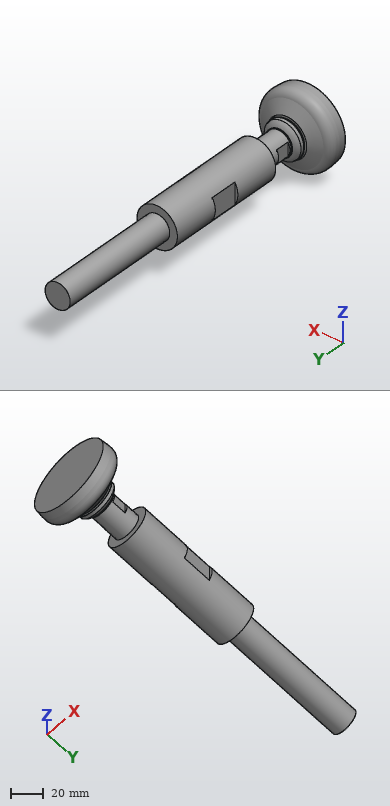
import cadquery as cq
import math

total_length = 243.0
foot_diameter = 60.0
rod_diameter = 20.0
sleeve_diameter = 32.0

base_radius = 29.5
pad_height = 6.0
rim_height = 9.0
shoulder_height = 15.5
shoulder_radius = 24.8
shoulder_bulge = 1.5
dish_top_height = 20.7
dish_top_radius = 15.5
groove_radius = 13.9
collar_base_height = 21.6
collar_lip_height = 22.4
collar_lip_radius = 15.0
collar_radius = 14.5
collar_shoulder_height = 25.0
collar_top_height = 28.2
collar_top_radius = 10.5
collar_bulge = 0.5
foot_height = 29.0

sleeve_start = 51.3
sleeve_length = 95.3
sleeve_flat_length = 21.9
sleeve_flat_width = 27.2
rod_flat_start = 30.1
rod_flat_length = 11.0
rod_flat_width = 16.8

foot_radius = foot_diameter / 2


def cylinder_along_y(diameter, start, length):
    """Solid cylinder on the Y axis, from start towards +Y."""
    return cq.Workplane("XZ", origin=(0, start, 0)).circle(diameter / 2).extrude(-length)


def cut_wrench_flats(body, body_diameter, flat_width, start, length):
    """Cut two parallel flats facing -X and +X, flat_width apart."""
    block = cq.Workplane("XY").box(body_diameter, length, 2 * body_diameter)
    offset = (flat_width + body_diameter) / 2
    for side in (-1, 1):
        body = body.cut(block.translate((side * offset, start + length / 2, 0)))
    return body


def arc_middle(start, end, bulge):
    """Point off the middle of a chord, moved outwards by the bulge."""
    chord_x = end[0] - start[0]
    chord_y = end[1] - start[1]
    chord = math.hypot(chord_x, chord_y)
    return (
        (start[0] + end[0]) / 2 + bulge * chord_y / chord,
        (start[1] + end[1]) / 2 - bulge * chord_x / chord,
    )


def make_foot():
    """Revolved dish on a tapered pad, with a collar separated from it by a groove."""
    rim = (foot_radius, rim_height)
    shoulder = (shoulder_radius, shoulder_height)
    collar_shoulder = (collar_radius, collar_shoulder_height)
    collar_top = (collar_top_radius, collar_top_height)
    return (
        cq.Workplane("XY")
        .lineTo(base_radius, 0)
        .lineTo(foot_radius, pad_height)
        .lineTo(*rim)
        .threePointArc(arc_middle(rim, shoulder, shoulder_bulge), shoulder)
        .lineTo(dish_top_radius, dish_top_height)
        .lineTo(groove_radius, dish_top_height)
        .lineTo(groove_radius, collar_base_height)
        .lineTo(collar_lip_radius, collar_lip_height)
        .lineTo(collar_radius, collar_lip_height)
        .lineTo(*collar_shoulder)
        .threePointArc(arc_middle(collar_shoulder, collar_top, collar_bulge), collar_top)
        .lineTo(collar_top_radius, foot_height)
        .lineTo(0, foot_height)
        .close()
        .revolve(360, (0, 0, 0), (0, 1, 0))
    )


def make_footed_rod():
    """Foot and full-length rod in one piece, with wrench flats above the collar."""
    rod = cylinder_along_y(rod_diameter, foot_height, total_length - foot_height)
    rod = cut_wrench_flats(rod, rod_diameter, rod_flat_width, rod_flat_start, rod_flat_length)
    return make_foot().union(rod)


def make_sleeve():
    """Adjusting sleeve bored to fit the rod, with wrench flats at its middle."""
    sleeve = cylinder_along_y(sleeve_diameter, sleeve_start, sleeve_length)
    sleeve = sleeve.cut(cylinder_along_y(rod_diameter, sleeve_start, sleeve_length))
    flat_start = sleeve_start + (sleeve_length - sleeve_flat_length) / 2
    return cut_wrench_flats(sleeve, sleeve_diameter, sleeve_flat_width, flat_start, sleeve_flat_length)


footed_rod = make_footed_rod()
sleeve = make_sleeve()
result = cq.Compound.makeCompound([footed_rod.val(), sleeve.val()])